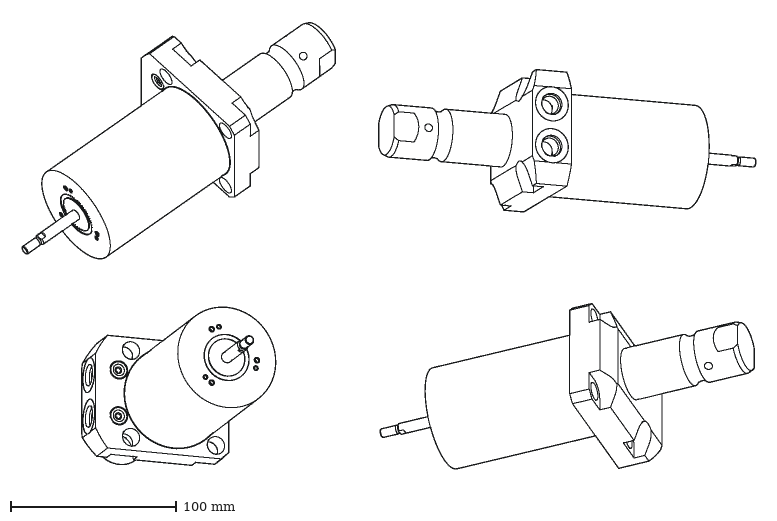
import cadquery as cq
import math


total_length = 238.53
flange_left = 50.0
flange_right = 35.5
flange_width = flange_left + flange_right
flange_height = 70.87
flange_thickness = 25.3
left_turned_radius = 55.2
right_corner_chamfer = 4.5
bevel_width = 15.1
bevel_angle = 20.0
bevel_drop = bevel_width * math.tan(math.radians(bevel_angle))

bolt_spacing = 54.5
bolt_hole_diameter = 11.0
bolt_seat_width = 17.0
bolt_seat_height = 12.8
bolt_seat_depth = flange_thickness - bolt_seat_height
bolt_seat_reach = 30.0

barrel_diameter = 63.0
barrel_length = 96.3
barrel_front = -barrel_length
shoulder_diameter = 63.6
shoulder_length = 0.3
face_groove_outer = 28.8
face_groove_inner = 23.3
face_groove_depth = 0.7

face_hole_circle_radius = 19.35
face_hole_groups = 3
face_hole_depth = 4.0
tapped_hole_diameter = 2.5
tapped_hole_mouth = 3.5
pin_hole_offset_angle = -15.0
pin_hole_diameter = 2.0
pin_hole_mouth = 3.0
drill_point_angle = 118.0

rod_radius = 16.0
rod_length = 75.5
rod_end = flange_thickness + rod_length
rod_chamfer_length = 3.0
rod_chamfer_depth = 1.1
rod_groove_distance = 27.7
rod_groove_width = 9.3
rod_groove_depth = 2.0
rod_flat_width = 26.5
rod_flat_length = 12.9
rod_flat_runout = 2.0
rod_flat_corner_radius = 1.0
rod_spot_diameter = 5.0
rod_spot_distance = 21.3
rod_spot_angles = (60, 180, 300)

shaft_radius = 3.4
shaft_length = total_length - rod_length - flange_thickness - barrel_length
shaft_end = barrel_front - shaft_length
shaft_tip_radius = 2.75
shaft_tip_chamfer = 0.5
shaft_tip_length = 10.2
shaft_neck_radius = 2.55
shaft_neck_length = 1.3
shaft_flat_width = 5.5
shaft_flat_length = 3.6

port_spacing = 26.0
port_spotface_diameter = 21.2
port_spotface_depth = 0.2
port_mouth_diameter = 13.0
port_mouth_depth = 2.5
port_bore_diameter = 11.0
port_depth = 14.0

seal_x = -35.0
seal_spacing = 28.8
seal_seat_diameter = 11.2
seal_seat_depth = 1.1
seal_hole_mouth = 4.2
seal_hole_diameter = 3.0
seal_hole_depth = 6.0
oring_section = 1.5
oring_outer_diameter = 10.2


def y_cylinder(diameter, y_start, y_end, x=0.0, z=0.0):
    """Cylinder parallel to Y between two Y positions."""
    start = cq.Vector(x, y_start, z)
    return cq.Workplane(cq.Solid.makeCylinder(diameter / 2, y_end - y_start, start, cq.Vector(0, 1, 0)))


def countersunk_hole(mouth, diameter, depth, y_face, x, z):
    """Blind hole going to +Y, with a 45 degree countersink and a conical bottom."""
    radius = diameter / 2
    sink = (mouth - diameter) / 2
    point = radius / math.tan(math.radians(drill_point_angle / 2))
    profile = [(0, 0), (0, mouth / 2), (sink, radius), (depth, radius), (depth + point, 0)]
    hole = cq.Workplane("YZ").polyline(profile).close().revolve(360, (0, 0, 0), (1, 0, 0))
    return hole.translate((x, y_face, z))


def make_flange():
    """Plate with a turned left end, chamfered right corners and a bevelled back."""
    half_height = flange_height / 2
    plate = cq.Workplane("XY").box(flange_width, flange_thickness, flange_height, centered=False)
    plate = plate.translate((-flange_left, 0, -half_height))
    plate = plate.edges("|Y and >X").chamfer(right_corner_chamfer)
    plate = plate.intersect(y_cylinder(2 * left_turned_radius, 0, flange_thickness))

    right_bevel = (
        cq.Workplane("XY")
        .moveTo(flange_right, flange_thickness)
        .lineTo(flange_right - bevel_width, flange_thickness)
        .lineTo(flange_right, flange_thickness - bevel_drop)
        .close()
        .extrude(half_height, both=True)
    )
    top_bevel = (
        cq.Workplane("YZ")
        .moveTo(flange_thickness, half_height)
        .lineTo(flange_thickness, half_height - bevel_width)
        .lineTo(flange_thickness - bevel_drop, half_height)
        .close()
        .extrude(flange_left, both=True)
    )
    return plate.cut(right_bevel).cut(top_bevel).cut(top_bevel.mirror("XY"))


def bolt_cutter(x_side, z_side):
    """Bolt hole and its seat, open to the top or bottom and, on the right, also to the side."""
    outline = cq.Workplane("XZ").rect(bolt_seat_width, bolt_seat_reach).extrude(-bolt_seat_depth)
    seat = y_cylinder(bolt_seat_width, 0, bolt_seat_depth)
    seat = seat.union(outline.translate((0, 0, bolt_seat_reach / 2)))
    if x_side > 0:
        half_width = bolt_seat_width / 2
        side = cq.Workplane("XY").box(
            bolt_seat_reach, bolt_seat_depth, half_width + bolt_seat_reach, centered=False
        )
        seat = seat.union(side.translate((0, 0, -half_width)))
    if z_side < 0:
        seat = seat.mirror("XY")
    cutter = seat.translate((0, bolt_seat_height, 0)).union(
        y_cylinder(bolt_hole_diameter, 0, flange_thickness)
    )
    return cutter.translate((x_side * bolt_spacing / 2, 0, z_side * bolt_spacing / 2))


def make_turned_core():
    """Extension shaft, barrel and piston rod as one turned shape."""
    tip_start = shaft_end + shaft_tip_length
    neck_start = tip_start + shaft_neck_length
    cone_start = neck_start + shaft_radius - shaft_neck_radius
    groove_back = rod_end - rod_groove_distance
    groove_front = groove_back - rod_groove_width
    groove_middle = (groove_front + groove_back) / 2
    return (
        cq.Workplane("YZ")
        .moveTo(shaft_end, 0)
        .lineTo(shaft_end, shaft_tip_radius - shaft_tip_chamfer)
        .lineTo(shaft_end + shaft_tip_chamfer, shaft_tip_radius)
        .lineTo(tip_start, shaft_tip_radius)
        .lineTo(tip_start, shaft_neck_radius)
        .lineTo(neck_start, shaft_neck_radius)
        .lineTo(cone_start, shaft_radius)
        .lineTo(barrel_front, shaft_radius)
        .lineTo(barrel_front, barrel_diameter / 2)
        .lineTo(-shoulder_length, barrel_diameter / 2)
        .lineTo(-shoulder_length, shoulder_diameter / 2)
        .lineTo(0, shoulder_diameter / 2)
        .lineTo(0, rod_radius)
        .lineTo(groove_front, rod_radius)
        .threePointArc((groove_middle, rod_radius - rod_groove_depth), (groove_back, rod_radius))
        .lineTo(rod_end - rod_chamfer_length, rod_radius)
        .lineTo(rod_end, rod_radius - rod_chamfer_depth)
        .lineTo(rod_end, 0)
        .close()
        .revolve(360, (0, 0, 0), (1, 0, 0))
    )


def cut_rod_flats(body):
    """Two wrench flats at the rod end, with rounded inner corners."""
    flat_x = rod_flat_width / 2
    flat_front = rod_end - rod_flat_length
    cutter = (
        cq.Workplane("XY")
        .moveTo(flat_x, rod_end)
        .lineTo(flat_x, flat_front)
        .lineTo(rod_radius, flat_front - rod_flat_runout)
        .lineTo(2 * rod_radius, flat_front - rod_flat_runout)
        .lineTo(2 * rod_radius, rod_end)
        .close()
        .extrude(rod_radius, both=True)
        .edges(cq.selectors.NearestToPointSelector((flat_x, flat_front, 0)))
        .fillet(rod_flat_corner_radius)
    )
    return body.cut(cutter).cut(cutter.mirror("YZ"))


def cut_rod_spots(body):
    """Conical 90 degree spots around the rod."""
    spot_radius = rod_spot_diameter / 2
    spot_y = rod_end - rod_spot_distance
    for angle in rod_spot_angles:
        turn = math.radians(angle)
        outward = cq.Vector(math.cos(turn), 0, math.sin(turn))
        apex = outward * (rod_radius - spot_radius) + cq.Vector(0, spot_y, 0)
        body = body.cut(cq.Workplane(cq.Solid.makeCone(0, spot_radius, spot_radius, apex, outward)))
    return body


def cut_shaft_flats(body):
    """Two flats on the extension shaft, above and below, with 45 degree run-outs."""
    flat_z = shaft_flat_width / 2
    flat_front = shaft_end + shaft_tip_length + shaft_neck_length
    flat_back = flat_front + shaft_flat_length
    cutter = (
        cq.Workplane("YZ")
        .moveTo(flat_front, flat_z)
        .lineTo(flat_back, flat_z)
        .lineTo(flat_back + flat_z, 2 * flat_z)
        .lineTo(flat_front, 2 * flat_z)
        .close()
        .extrude(shaft_radius, both=True)
    )
    return body.cut(cutter).cut(cutter.mirror("XY"))


def cut_barrel_face(body):
    """Annular groove and three pairs of blind holes in the barrel face."""
    groove_bottom = barrel_front + face_groove_depth
    groove = y_cylinder(face_groove_outer, barrel_front, groove_bottom)
    body = body.cut(groove.cut(y_cylinder(face_groove_inner, barrel_front, groove_bottom)))
    hole_pair = (
        (0.0, tapped_hole_mouth, tapped_hole_diameter),
        (pin_hole_offset_angle, pin_hole_mouth, pin_hole_diameter),
    )
    for group in range(face_hole_groups):
        for offset, mouth, diameter in hole_pair:
            turn = math.radians(group * 360 / face_hole_groups + offset)
            x = face_hole_circle_radius * math.cos(turn)
            z = face_hole_circle_radius * math.sin(turn)
            body = body.cut(countersunk_hole(mouth, diameter, face_hole_depth, barrel_front, x, z))
    return body


def side_port_cutter(side):
    """Spotface, wide mouth, 45 degree step and flat-bottomed bore, going to +X."""
    mouth_end = port_spotface_depth + port_mouth_depth
    bore_start = mouth_end + (port_mouth_diameter - port_bore_diameter) / 2
    cutter = (
        cq.Workplane("XZ")
        .moveTo(0, 0)
        .lineTo(0, port_spotface_diameter / 2)
        .lineTo(port_spotface_depth, port_spotface_diameter / 2)
        .lineTo(port_spotface_depth, port_mouth_diameter / 2)
        .lineTo(mouth_end, port_mouth_diameter / 2)
        .lineTo(bore_start, port_bore_diameter / 2)
        .lineTo(port_depth, port_bore_diameter / 2)
        .lineTo(port_depth, 0)
        .close()
        .revolve(360, (0, 0, 0), (1, 0, 0))
    )
    return cutter.translate((-flange_left, flange_thickness / 2, side * port_spacing / 2))


def seal_port_cutter(side):
    """O-ring seat and the oil hole in its floor."""
    z = side * seal_spacing / 2
    seat = y_cylinder(seal_seat_diameter, 0, seal_seat_depth, seal_x, z)
    hole = countersunk_hole(
        seal_hole_mouth, seal_hole_diameter, seal_hole_depth, seal_seat_depth, seal_x, z
    )
    return seat.union(hole)


def make_housing():
    body = make_flange().union(make_turned_core())
    body = cut_rod_flats(body)
    body = cut_rod_spots(body)
    body = cut_shaft_flats(body)
    body = cut_barrel_face(body)
    for z_side in (-1, 1):
        for x_side in (-1, 1):
            body = body.cut(bolt_cutter(x_side, z_side))
        body = body.cut(side_port_cutter(z_side))
        body = body.cut(seal_port_cutter(z_side))
    return body


def make_oring(side):
    """O-ring resting on the floor of its seat and standing slightly proud of the flange."""
    section_radius = oring_section / 2
    ring_radius = oring_outer_diameter / 2 - section_radius
    center = cq.Vector(seal_x, seal_seat_depth - section_radius, side * seal_spacing / 2)
    return cq.Workplane(cq.Solid.makeTorus(ring_radius, section_radius, center, cq.Vector(0, 1, 0)))


housing = make_housing()
orings = [make_oring(side) for side in (-1, 1)]

result = cq.Compound.makeCompound([housing.val(), *[oring.val() for oring in orings]])